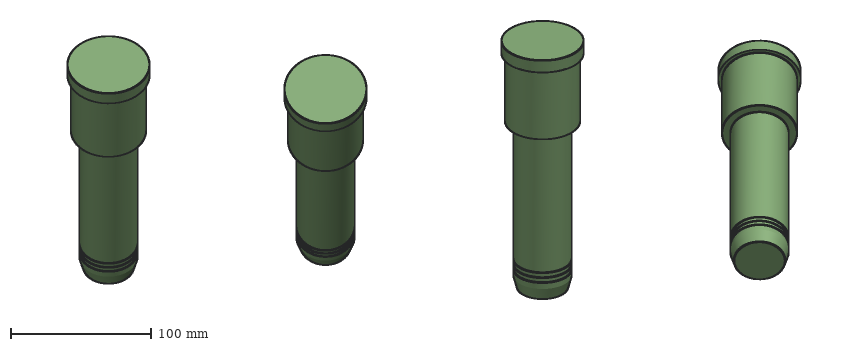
import cadquery as cq

total_length = 201.0
head_diameter = 59.0
head_height = 10.0
sleeve_diameter = 54.0
sleeve_end_depth = 66.1
shaft_diameter = 42.0
tip_diameter = 36.8
tip_height = 10.0
edge_chamfer = 0.5

relief_height = 1.0
relief_depth = 0.2
groove_width = 1.0
groove_depth = 0.5
lowest_groove_height = 15.3
groove_pitch = 4.0
groove_count = 3

head_bottom = total_length - head_height
sleeve_bottom = total_length - sleeve_end_depth


def cylinder(diameter, bottom, top):
    """Solid cylinder on the Z axis between two heights."""
    return cq.Workplane("XY").workplane(offset=bottom).circle(diameter / 2).extrude(top - bottom)


def v_groove(diameter, depth, bottom, width):
    """Ring with a V section that cuts a groove into a cylinder of the given diameter."""
    radius = diameter / 2
    section = [(radius, bottom), (radius - depth, bottom + width / 2), (radius, bottom + width)]
    return cq.Workplane("XZ").polyline(section).close().revolve(360, (0, 0, 0), (0, 1, 0))


head = cylinder(head_diameter, head_bottom, total_length).faces(">Z").edges().chamfer(edge_chamfer)
sleeve = cylinder(sleeve_diameter, sleeve_bottom, head_bottom).faces("<Z").edges().chamfer(edge_chamfer)
shaft = cylinder(shaft_diameter, tip_height, sleeve_bottom)

tip = (
    cq.Workplane("XY")
    .circle(tip_diameter / 2)
    .workplane(offset=tip_height)
    .circle(shaft_diameter / 2)
    .loft(ruled=True)
)
tip = tip.faces("<Z").edges().chamfer(edge_chamfer)

result = head.union(sleeve).union(shaft).union(tip)

result = result.cut(v_groove(sleeve_diameter, relief_depth, head_bottom - relief_height, relief_height))
result = result.cut(v_groove(shaft_diameter, relief_depth, sleeve_bottom - relief_height, relief_height))

for index in range(groove_count):
    groove_bottom = lowest_groove_height + index * groove_pitch - groove_width / 2
    result = result.cut(v_groove(shaft_diameter, groove_depth, groove_bottom, groove_width))